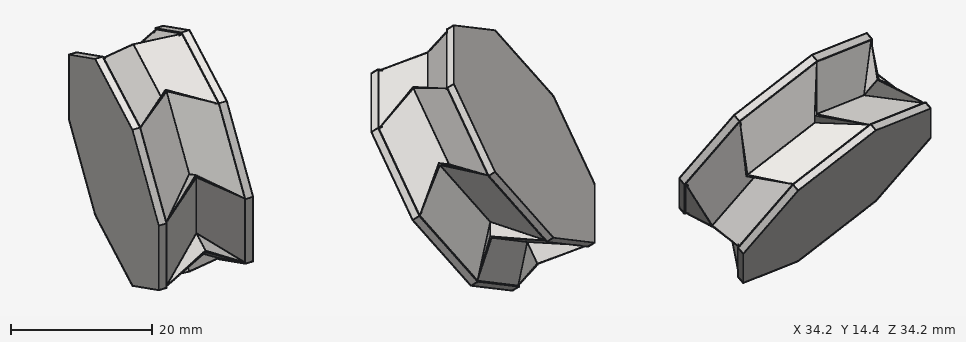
import cadquery as cq
import math

SIDES = 8
SIDE_ANGLE = 360 / SIDES

FLANGE_ACROSS_FLATS = 34.19
FLANGE_THICKNESS = 1.2
FLANGE_STEP = 0.2
CORE_WIDTH = 12.0

GROOVE_WALL_ANGLE = 30.0
END_WALL_LEAD = 5.25

HALF_WIDTH = CORE_WIDTH / 2
GROOVE_DEPTH = HALF_WIDTH * math.tan(math.radians(GROOVE_WALL_ANGLE))
FLANGE_APOTHEM = FLANGE_ACROSS_FLATS / 2
CORE_APOTHEM = FLANGE_APOTHEM - FLANGE_STEP
CORE_RADIUS = CORE_APOTHEM / math.cos(math.pi / SIDES)
CORE_HALF_SIDE = CORE_APOTHEM * math.tan(math.pi / SIDES)


def octagon_prism(apothem, y_start, width):
    """Octagonal prism along Y with flats facing X and Z."""
    radius = apothem / math.cos(math.pi / SIDES)
    corners = []
    for index in range(SIDES):
        angle = 2 * math.pi * (index + 0.5) / SIDES
        corners.append((radius * math.cos(angle), radius * math.sin(angle)))
    return cq.Workplane("XZ", origin=(0, y_start, 0)).polyline(corners).close().extrude(-width)


def make_body():
    core = octagon_prism(CORE_APOTHEM, -HALF_WIDTH, CORE_WIDTH)
    front_flange = octagon_prism(FLANGE_APOTHEM, -HALF_WIDTH - FLANGE_THICKNESS, FLANGE_THICKNESS)
    back_flange = octagon_prism(FLANGE_APOTHEM, HALF_WIDTH, FLANGE_THICKNESS)
    return core.union(front_flange).union(back_flange)


def make_groove_cutter():
    """V-groove cutter for the +Z side: open toward -X, ending in a pointed wall toward +X."""
    open_end = -CORE_RADIUS
    v_profile = (
        cq.Workplane("YZ", origin=(open_end, 0, 0))
        .moveTo(-HALF_WIDTH, CORE_APOTHEM)
        .lineTo(0, CORE_APOTHEM - GROOVE_DEPTH)
        .lineTo(HALF_WIDTH, CORE_APOTHEM)
        .close()
        .extrude(CORE_HALF_SIDE - open_end)
    )
    end_wall_outline = (
        cq.Workplane("XY")
        .moveTo(open_end, -HALF_WIDTH)
        .lineTo(CORE_HALF_SIDE, -HALF_WIDTH)
        .lineTo(CORE_HALF_SIDE - END_WALL_LEAD, 0)
        .lineTo(CORE_HALF_SIDE, HALF_WIDTH)
        .lineTo(open_end, HALF_WIDTH)
        .close()
        .extrude(CORE_RADIUS)
    )
    return v_profile.intersect(end_wall_outline)


def cut_grooves(body):
    cutter = make_groove_cutter()
    for index in range(SIDES):
        body = body.cut(cutter.rotate((0, 0, 0), (0, 1, 0), index * SIDE_ANGLE))
    return body


result = cut_grooves(make_body())